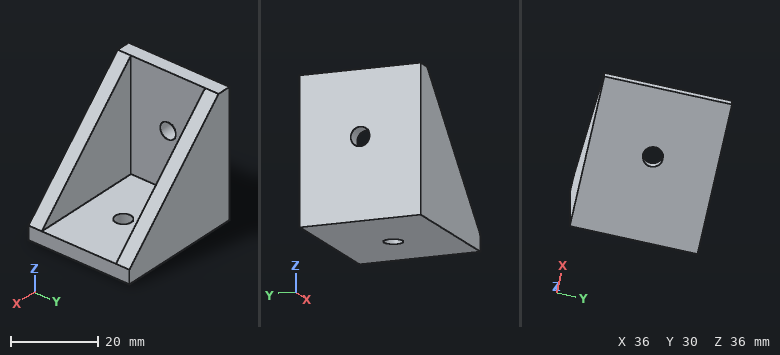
import cadquery as cq

leg = 36.0
width = 30.0
thickness = 4.0
hole_diameter = 4.6
hole_distance = 20.0


def bracket_body():
    """Solid wedge with blunt ends, centred on Y."""
    return (
        cq.Workplane("XZ")
        .moveTo(0, 0)
        .lineTo(leg, 0)
        .lineTo(leg, thickness)
        .lineTo(thickness, leg)
        .lineTo(0, leg)
        .close()
        .extrude(width / 2, both=True)
    )


def inner_pocket():
    """Space between the cheeks, above the base and in front of the wall."""
    pocket_side = leg - thickness
    return cq.Workplane("XY").box(
        pocket_side, width - 2 * thickness, pocket_side, centered=(False, True, False)
    ).translate((thickness, 0, thickness))


def base_hole():
    """Vertical hole through the base."""
    return cq.Workplane("XY").center(hole_distance, 0).circle(hole_diameter / 2).extrude(thickness)


def wall_hole():
    """Horizontal hole through the wall."""
    return cq.Workplane("YZ").center(0, hole_distance).circle(hole_diameter / 2).extrude(thickness)


result = bracket_body().cut(inner_pocket()).cut(base_hole()).cut(wall_hole())